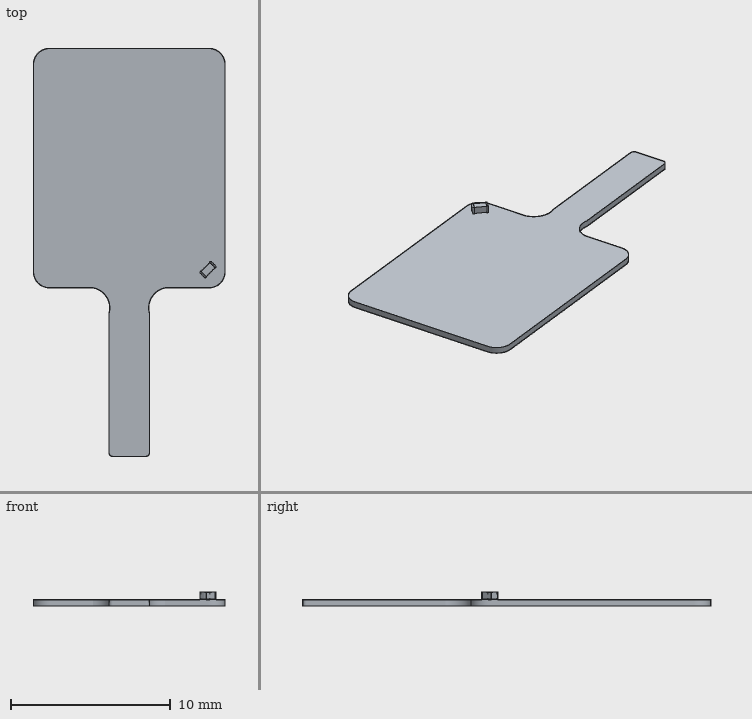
import cadquery as cq
import math

panel_width = 12.02
board_length = 25.57
panel_length = 15.0
panel_corner_radius = 1.02
tail_width = 2.55
tail_corner_radius = 0.25
neck_radius = 1.28
neck_tail_dip = 0.05
neck_panel_dip = 0.03
board_thickness = 0.4
tail_length = board_length - panel_length

overall_height = 0.9
chip_length = 1.0
chip_angle = 45.0
chip_x = 4.94
chip_y = 1.15

cap_length = 0.1
cap_width = 0.5
cap_height = overall_height - board_thickness
cap_rim_radius = 0.05

body_setback = 0.03
body_length = chip_length - 2 * cap_length
body_width = cap_width - 2 * body_setback
body_height = cap_height - 2 * body_setback


def make_board():
    """Flat panel and tail in one plate, with rounded corners and hollow necks between them."""
    half_panel = panel_width / 2
    half_tail = tail_width / 2

    neck_x = half_tail - neck_tail_dip + neck_radius
    neck_y = neck_panel_dip - neck_radius
    neck_start_x = neck_x - math.sqrt(neck_radius**2 - neck_y**2)
    neck_end_y = neck_y - math.sqrt(neck_radius**2 - (neck_x - half_tail) ** 2)
    neck_mid_x = neck_x - neck_radius * math.sqrt(0.5)
    neck_mid_y = neck_y + neck_radius * math.sqrt(0.5)

    plate = (
        cq.Workplane("XY")
        .moveTo(-neck_start_x, 0)
        .lineTo(-half_panel, 0)
        .lineTo(-half_panel, panel_length)
        .lineTo(half_panel, panel_length)
        .lineTo(half_panel, 0)
        .lineTo(neck_start_x, 0)
        .threePointArc((neck_mid_x, neck_mid_y), (half_tail, neck_end_y))
        .lineTo(half_tail, -tail_length)
        .lineTo(-half_tail, -tail_length)
        .lineTo(-half_tail, neck_end_y)
        .threePointArc((-neck_mid_x, neck_mid_y), (-neck_start_x, 0))
        .close()
        .extrude(board_thickness)
    )
    plate = plate.edges("|Z and (<X or >X)").fillet(panel_corner_radius)
    return plate.edges("|Z and <Y").fillet(tail_corner_radius)


def place_on_board(chip_part):
    """Turn a part built around the chip centre and stand it at its place on the board."""
    turned = chip_part.rotate((0, 0, 0), (0, 0, 1), chip_angle)
    return turned.translate((chip_x, chip_y, board_thickness))


def make_chip_body():
    """Plain block held between the caps, clear of the board."""
    block = cq.Workplane("XY").box(body_length, body_width, body_height)
    return place_on_board(block.translate((0, 0, cap_height / 2)))


def make_end_cap(side):
    """End plate on the given side of the chip (-1 or 1), its outer face rimmed by a fillet."""
    plate = cq.Workplane("XY").box(cap_length, cap_width, cap_height)
    outer_face = ">X" if side > 0 else "<X"
    plate = plate.faces(outer_face).edges().fillet(cap_rim_radius)
    cap_offset = side * (body_length + cap_length) / 2
    return place_on_board(plate.translate((cap_offset, 0, cap_height / 2)))


board = make_board()
chip_body = make_chip_body()
end_caps = [make_end_cap(side) for side in (-1, 1)]

result = cq.Compound.makeCompound([board.val(), chip_body.val(), *[cap.val() for cap in end_caps]])